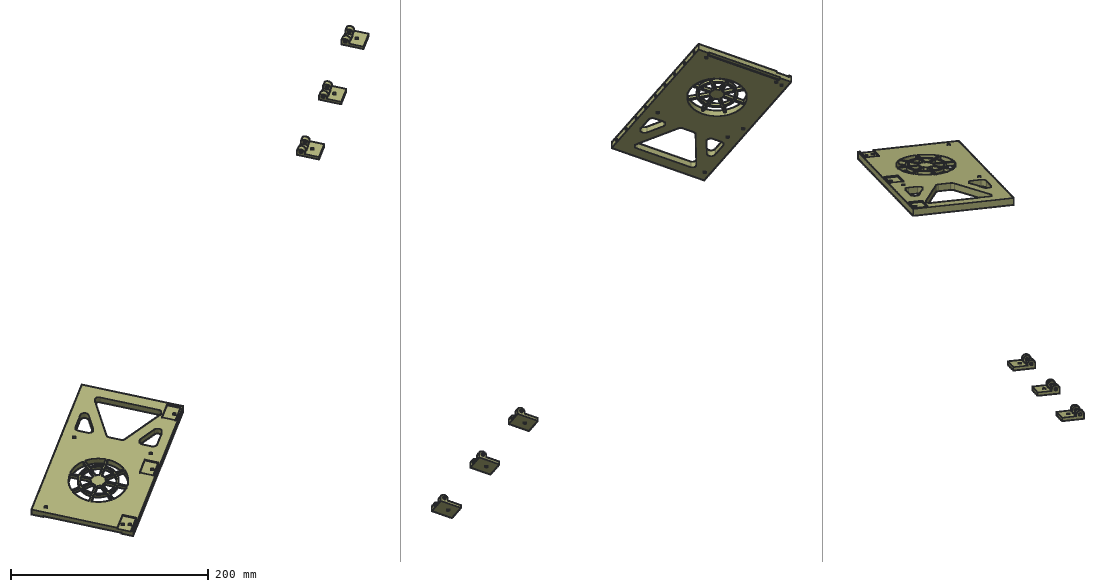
import cadquery as cq
import math

PANEL_WIDTH = 107.0
PANEL_LENGTH = 181.5
PANEL_THICKNESS = 7.5
PANEL_TOP = 30.0
PANEL_BOTTOM = PANEL_TOP - PANEL_THICKNESS
PANEL_MIDDLE_X = PANEL_WIDTH / 2

GRILLE_Y = 58.0
GRILLE_RADIUS = 30.0
HUB_RADIUS = 7.5
RING_RADIUS = 20.0
RING_WIDTH = 2.0
GRILLE_THICKNESS = 4.0
SPOKE_COUNT = 8
SPOKE_WIDTH = 2.0
FAN_HOLE_DIAMETER = 3.0
FAN_HOLE_SPACING_X = 81.0
FAN_HOLE_SPACING_Y = 101.0

WINDOW_FRONT_Y = 119.0
WINDOW_SLOPE = math.tan(math.radians(60))
TRAPEZOID_DEPTH = 51.0
TRAPEZOID_BACK_WIDTH = 75.5
TRAPEZOID_FRONT_WIDTH = TRAPEZOID_BACK_WIDTH - 2 * TRAPEZOID_DEPTH / WINDOW_SLOPE
TRAPEZOID_CORNER_RADIUS = 4.0
TRIANGLE_WIDTH = 22.0
TRIANGLE_DEPTH = TRIANGLE_WIDTH * WINDOW_SLOPE
TRIANGLE_CORNER_RADIUS = 4.5
TRIANGLE_SIDE_MARGIN = 10.5

BRACKET_COUNT = 3
BRACKET_PITCH = 80.0
BRACKET_LENGTH = 23.5
BRACKET_WIDTH = 19.0
BRACKET_BASE_HEIGHT = 4.0
BRACKET_LEFT_X = 111.0
BRACKET_ROW_BACK_Y = 756.0
LAST_BRACKET_MIDDLE_Y = BRACKET_ROW_BACK_Y - BRACKET_WIDTH / 2
KNUCKLE_DIAMETER = 8.0
KNUCKLE_RADIUS = KNUCKLE_DIAMETER / 2
KNUCKLE_AXIS_Z = 5.0
KNUCKLE_GAP = 9.0
KNUCKLE_GAP_FLOOR_Z = 2.0
PIN_HOLE_DIAMETER = 3.0
BRACKET_HOLE_DIAMETER = 3.0
BRACKET_HOLE_X = 13.5

SEAT_LENGTH = 14.0
SEAT_DEPTH = 1.5
SEAT_RIM = 2.0
SEAT_LEFT_X = PANEL_WIDTH - SEAT_RIM - SEAT_LENGTH
SEAT_HOLE_DIAMETER = 3.0
SEAT_HOLE_X = 101.0
FIRST_SEAT_MIDDLE_Y = BRACKET_WIDTH / 2

FRONT_RECESS_WIDTH = 82.5
FRONT_RECESS_HEIGHT = 1.1
FRONT_RECESS_DEPTH = 4.0

EDGE_HOLE_COUNT = 9
EDGE_HOLE_SPAN = 162.0
EDGE_HOLE_PITCH = EDGE_HOLE_SPAN / (EDGE_HOLE_COUNT - 1)
EDGE_HOLE_DIAMETER = 2.0
EDGE_HOLE_DEPTH = 7.5


def box_between(x_range, y_range, z_range):
    """Box spanning the given (low, high) ranges."""
    lows, highs = zip(x_range, y_range, z_range)
    sizes = [high - low for low, high in zip(lows, highs)]
    return cq.Workplane("XY").box(*sizes, centered=False).translate(lows)


def panel_sketch_plane():
    """Workplane on the underside of the panel, from which its through cuts rise."""
    return cq.Workplane("XY").workplane(offset=PANEL_BOTTOM)


def grille_openings():
    """Round opening less the thin hub, ring and spokes flush with the top of the panel."""
    opening = panel_sketch_plane().center(PANEL_MIDDLE_X, GRILLE_Y).circle(GRILLE_RADIUS)
    opening = opening.extrude(PANEL_THICKNESS)
    plane = cq.Workplane("XY", origin=(PANEL_MIDDLE_X, GRILLE_Y, PANEL_TOP - GRILLE_THICKNESS))
    hub = plane.circle(HUB_RADIUS).extrude(GRILLE_THICKNESS)
    ring_outer = RING_RADIUS + RING_WIDTH / 2
    ring_inner = RING_RADIUS - RING_WIDTH / 2
    ring = plane.circle(ring_outer).circle(ring_inner).extrude(GRILLE_THICKNESS)
    opening = opening.cut(hub).cut(ring)
    for index in range(SPOKE_COUNT // 2):
        angle = index * 360 / SPOKE_COUNT
        spoke = plane.transformed(rotate=(0, 0, angle)).rect(2 * GRILLE_RADIUS, SPOKE_WIDTH)
        opening = opening.cut(spoke.extrude(GRILLE_THICKNESS))
    return opening


def fan_holes():
    return (
        panel_sketch_plane()
        .center(PANEL_MIDDLE_X, GRILLE_Y)
        .rect(FAN_HOLE_SPACING_X, FAN_HOLE_SPACING_Y, forConstruction=True)
        .vertices()
        .circle(FAN_HOLE_DIAMETER / 2)
        .extrude(PANEL_THICKNESS)
    )


def trapezoid_window():
    half_front = TRAPEZOID_FRONT_WIDTH / 2
    half_back = TRAPEZOID_BACK_WIDTH / 2
    corners = [
        (-half_front, 0),
        (half_front, 0),
        (half_back, TRAPEZOID_DEPTH),
        (-half_back, TRAPEZOID_DEPTH),
    ]
    window = panel_sketch_plane().center(PANEL_MIDDLE_X, WINDOW_FRONT_Y).polyline(corners).close()
    return window.extrude(PANEL_THICKNESS).edges("|Z").fillet(TRAPEZOID_CORNER_RADIUS)


def triangle_window():
    """Left triangular window; the right one is its mirror image."""
    corners = [(0, 0), (TRIANGLE_WIDTH, 0), (0, TRIANGLE_DEPTH)]
    window = panel_sketch_plane().center(TRIANGLE_SIDE_MARGIN, WINDOW_FRONT_Y).polyline(corners).close()
    return window.extrude(PANEL_THICKNESS).edges("|Z").fillet(TRIANGLE_CORNER_RADIUS)


def bracket_seat(middle_y):
    """Shallow seat for a bracket with a screw hole through its floor."""
    seat = box_between(
        (SEAT_LEFT_X, SEAT_LEFT_X + SEAT_LENGTH),
        (middle_y - BRACKET_WIDTH / 2, middle_y + BRACKET_WIDTH / 2),
        (PANEL_TOP - SEAT_DEPTH, PANEL_TOP),
    )
    hole = panel_sketch_plane().center(SEAT_HOLE_X, middle_y).circle(SEAT_HOLE_DIAMETER / 2)
    return seat.union(hole.extrude(PANEL_THICKNESS))


def front_recess():
    return box_between(
        (PANEL_MIDDLE_X - FRONT_RECESS_WIDTH / 2, PANEL_MIDDLE_X + FRONT_RECESS_WIDTH / 2),
        (0, FRONT_RECESS_DEPTH),
        (PANEL_BOTTOM, PANEL_BOTTOM + FRONT_RECESS_HEIGHT),
    )


def edge_holes():
    return (
        cq.Workplane("YZ", origin=(0, PANEL_LENGTH / 2, PANEL_BOTTOM + PANEL_THICKNESS / 2))
        .rarray(EDGE_HOLE_PITCH, 7.5, EDGE_HOLE_COUNT, 1)
        .circle(EDGE_HOLE_DIAMETER / 2)
        .extrude(EDGE_HOLE_DEPTH)
    )


def make_panel():
    left_window = triangle_window()
    right_window = left_window.mirror("YZ", (PANEL_MIDDLE_X, 0, 0))
    panel = box_between((0, PANEL_WIDTH), (0, PANEL_LENGTH), (PANEL_BOTTOM, PANEL_TOP))
    panel = panel.cut(grille_openings()).cut(fan_holes())
    panel = panel.cut(trapezoid_window()).cut(left_window).cut(right_window)
    for index in range(BRACKET_COUNT):
        panel = panel.cut(bracket_seat(FIRST_SEAT_MIDDLE_Y + index * BRACKET_PITCH))
    return panel.cut(front_recess()).cut(edge_holes())


def make_bracket(middle_y):
    """Flat base with two hinge knuckles along its left edge."""
    half_width = BRACKET_WIDTH / 2
    base = box_between((0, BRACKET_LENGTH), (-half_width, half_width), (0, BRACKET_BASE_HEIGHT))
    knuckle_block = box_between((0, KNUCKLE_DIAMETER), (-half_width, half_width), (0, KNUCKLE_AXIS_Z))
    knuckle_plane = cq.Workplane("XZ", origin=(KNUCKLE_RADIUS, half_width, KNUCKLE_AXIS_Z))
    barrel = knuckle_plane.circle(KNUCKLE_RADIUS).extrude(BRACKET_WIDTH)
    pin_hole = knuckle_plane.circle(PIN_HOLE_DIAMETER / 2).extrude(BRACKET_WIDTH)
    gap = box_between(
        (0, KNUCKLE_DIAMETER),
        (-KNUCKLE_GAP / 2, KNUCKLE_GAP / 2),
        (KNUCKLE_GAP_FLOOR_Z, KNUCKLE_AXIS_Z + KNUCKLE_RADIUS),
    )
    screw_hole = cq.Workplane("XY").center(BRACKET_HOLE_X, 0).circle(BRACKET_HOLE_DIAMETER / 2)
    bracket = base.union(knuckle_block).union(barrel)
    bracket = bracket.cut(pin_hole).cut(gap).cut(screw_hole.extrude(BRACKET_BASE_HEIGHT))
    return bracket.translate((BRACKET_LEFT_X, middle_y, 0))


panel = make_panel()
brackets = [make_bracket(LAST_BRACKET_MIDDLE_Y - index * BRACKET_PITCH) for index in range(BRACKET_COUNT)]

result = cq.Compound.makeCompound([panel.val(), *[bracket.val() for bracket in brackets]])